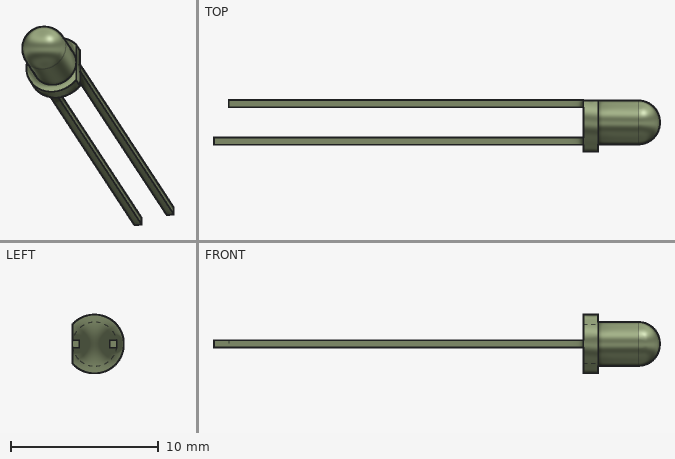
import cadquery as cq

lens_radius = 1.5
lens_length = 5.2
flange_radius = 2.0
flange_thickness = 1.0
flat_offset = lens_radius

lead_width = 0.5
lead_pitch = 2.54
long_lead_length = 25.0
short_lead_length = 24.0


def make_lens():
    """Domed barrel on a round flange with one flat."""
    barrel_end = lens_length - lens_radius
    flange = cq.Workplane("YZ").circle(flange_radius).extrude(flange_thickness)
    flat_cut = cq.Workplane("XY").box(
        flange_thickness, flange_radius, 2 * flange_radius, centered=(False, False, True)
    ).translate((0, flat_offset, 0))
    barrel = cq.Workplane("YZ").circle(lens_radius).extrude(barrel_end)
    dome = cq.Workplane("XY").sphere(lens_radius).translate((barrel_end, 0, 0))
    return flange.cut(flat_cut).union(barrel).union(dome)


def make_lead(length, y_center):
    """Square wire that ends against the flange base."""
    lead = cq.Workplane("YZ").center(y_center, 0).rect(lead_width, lead_width)
    return lead.extrude(-length)


lens = make_lens()
leads = [
    make_lead(length, side * lead_pitch / 2)
    for length, side in ((long_lead_length, -1), (short_lead_length, 1))
]

result = cq.Compound.makeCompound([lens.val(), *[lead.val() for lead in leads]])